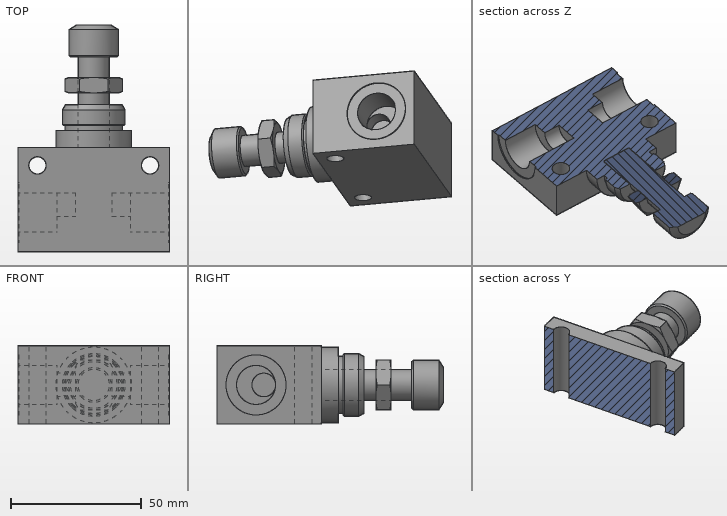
import cadquery as cq

block_width = 58.0
block_length = 40.0
block_height = 30.0

mount_hole_diameter = 6.5
mount_hole_spacing = 43.0
mount_hole_edge_distance = 6.9

port_y = 15.0
port_diameter = 14.9
port_depth = 15.0
spotface_diameter = 23.0
spotface_depth = 0.5
passage_diameter = 9.0
passage_depth = 6.9
passage_y = port_y + (port_diameter - passage_diameter) / 2

boss_diameter = 29.0
boss_length = 6.5
neck_diameter = 22.0
neck_length = 1.7
collar_diameter = 24.0
collar_length = 8.1
collar_rear_chamfer_length = 2.1
collar_rear_chamfer_width = 1.1
collar_front_chamfer = 0.5
boss_end_y = block_length + boss_length
collar_start_y = boss_end_y + neck_length
collar_end_y = collar_start_y + collar_length

overall_length = 86.7
spindle_diameter = 12.0
knob_diameter = 19.0
knob_length = 12.2
knob_front_chamfer = 0.6
knob_rear_chamfer_length = 1.8
knob_rear_chamfer_width = 2.9
knob_start_y = overall_length - knob_length

nut_start_y = 60.8
nut_thickness = 5.8
nut_corner_diameter = 22.1
nut_face_diameter = 19.25
nut_chamfer_length = 0.5


def cylinder_along_y(diameter, start_y, end_y):
    """Cylinder on the Y axis between two Y positions."""
    plane = cq.Plane(origin=(0, start_y, 0), xDir=(1, 0, 0), normal=(0, 1, 0))
    return cq.Workplane(plane).circle(diameter / 2).extrude(end_y - start_y)


def revolve_profile(points):
    """Solid of revolution about Y from (radius, y) points."""
    return cq.Workplane("XY").polyline(points).close().revolve(360, (0, 0, 0), (0, 1, 0))


def make_collar():
    radius = collar_diameter / 2
    return revolve_profile([
        (0, collar_start_y),
        (radius - collar_front_chamfer, collar_start_y),
        (radius, collar_start_y + collar_front_chamfer),
        (radius, collar_end_y - collar_rear_chamfer_length),
        (radius - collar_rear_chamfer_width, collar_end_y),
        (0, collar_end_y),
    ])


def make_port_cutter(side):
    """Spotface, port and off-centre passage; side is -1 or +1 along X."""
    face_x = side * block_width / 2

    def bore(diameter, center_y, depth):
        plane = cq.Plane(origin=(face_x, center_y, 0), xDir=(0, 1, 0), normal=(-side, 0, 0))
        return cq.Workplane(plane).circle(diameter / 2).extrude(depth)

    cutter = bore(spotface_diameter, port_y, spotface_depth)
    cutter = cutter.union(bore(port_diameter, port_y, port_depth))
    return cutter.union(bore(passage_diameter, passage_y, port_depth + passage_depth))


def make_housing():
    housing = cq.Workplane("XY").box(
        block_width, block_length, block_height, centered=(True, False, True)
    )
    housing = housing.union(cylinder_along_y(boss_diameter, block_length, boss_end_y))
    housing = housing.union(cylinder_along_y(neck_diameter, boss_end_y, collar_start_y))
    housing = housing.union(make_collar())
    housing = housing.cut(cylinder_along_y(spindle_diameter, block_length, collar_end_y))
    for side in (-1, 1):
        housing = housing.cut(make_port_cutter(side))
    mount_holes = (
        cq.Workplane("XY")
        .pushPoints([
            (side * mount_hole_spacing / 2, block_length - mount_hole_edge_distance)
            for side in (-1, 1)
        ])
        .circle(mount_hole_diameter / 2)
        .extrude(block_height / 2, both=True)
    )
    return housing.cut(mount_holes)


def make_spindle():
    """Spindle with its knob, seated on the floor of the housing bore."""
    knob_radius = knob_diameter / 2
    spindle_radius = spindle_diameter / 2
    return revolve_profile([
        (0, block_length),
        (spindle_radius, block_length),
        (spindle_radius, knob_start_y),
        (knob_radius - knob_front_chamfer, knob_start_y),
        (knob_radius, knob_start_y + knob_front_chamfer),
        (knob_radius, overall_length - knob_rear_chamfer_length),
        (knob_radius - knob_rear_chamfer_width, overall_length),
        (0, overall_length),
    ])


def make_locknut():
    nut_end_y = nut_start_y + nut_thickness
    plane = cq.Plane(origin=(0, nut_start_y, 0), xDir=(1, 0, 0), normal=(0, 1, 0))
    hexagon = cq.Workplane(plane).polygon(6, nut_corner_diameter).extrude(nut_thickness)
    envelope = revolve_profile([
        (0, nut_start_y),
        (nut_face_diameter / 2, nut_start_y),
        (nut_corner_diameter / 2, nut_start_y + nut_chamfer_length),
        (nut_corner_diameter / 2, nut_end_y - nut_chamfer_length),
        (nut_face_diameter / 2, nut_end_y),
        (0, nut_end_y),
    ])
    nut = hexagon.intersect(envelope)
    return nut.cut(cylinder_along_y(spindle_diameter, nut_start_y, nut_end_y))


housing = make_housing()
spindle = make_spindle()
locknut = make_locknut()

result = cq.Compound.makeCompound([housing.val(), spindle.val(), locknut.val()])